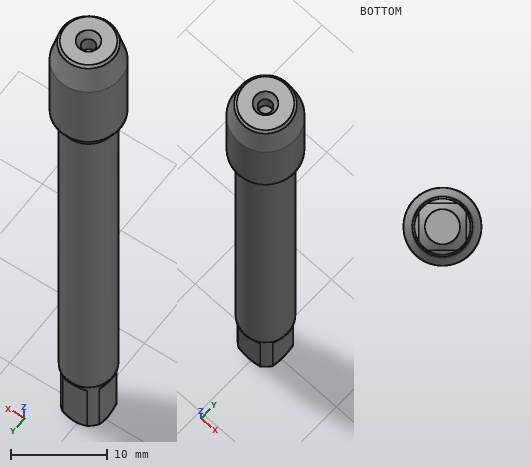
import cadquery as cq
import math

length = 70.0
head_diameter = 8.1
shaft_diameter = 6.2

top_face_diameter = 5.95
rim_chamfer = 0.3
nose_base_z = 66.5
neck_top_z = 57.05
neck_bottom_z = 55.5
collar_diameter = 6.5
collar_height = 0.35

drive_diameter = 5.8
across_flats = 4.9
flat_height = 7.9
shaft_start_z = 8.9
drive_step_height = 0.3
tip_diameter = 3.65
tip_chamfer_height = 1.25

countersink_diameter = 2.65
countersink_angle = 60.0
hole_diameter = 1.6
hole_depth = 2.8
drill_point_angle = 118.0

head_radius = head_diameter / 2
shaft_radius = shaft_diameter / 2
collar_radius = collar_diameter / 2
drive_radius = drive_diameter / 2
top_face_radius = top_face_diameter / 2
half_flats = across_flats / 2
hole_radius = hole_diameter / 2
drill_point_depth = hole_radius / math.tan(math.radians(drill_point_angle / 2))
countersink_radius = countersink_diameter / 2
countersink_slope = math.tan(math.radians(countersink_angle / 2))
countersink_depth = (countersink_radius - hole_radius) / countersink_slope


def revolve_profile(points):
    """Revolve a closed outline of (radius, height) points about Z."""
    return cq.Workplane("XZ").polyline(points).close().revolve(360, (0, 0), (0, 1))


def make_body():
    """Turned body from the drive tip to the head."""
    return revolve_profile([
        (0, 0),
        (tip_diameter / 2, 0),
        (drive_radius, tip_chamfer_height),
        (drive_radius, shaft_start_z - drive_step_height),
        (shaft_radius, shaft_start_z),
        (shaft_radius, neck_bottom_z - collar_height),
        (collar_radius, neck_bottom_z),
        (head_radius, neck_top_z),
        (head_radius, nose_base_z),
        (top_face_radius + rim_chamfer, length - rim_chamfer),
        (top_face_radius, length),
        (0, length),
    ])


def make_flat_cutter():
    """Material beyond one flat, with a 45 degree run-out at its upper end."""
    outside = head_radius
    runout = outside - half_flats
    return (
        cq.Workplane("XZ")
        .polyline([
            (half_flats, 0),
            (outside, 0),
            (outside, flat_height + runout),
            (half_flats, flat_height),
        ])
        .close()
        .extrude(head_radius, both=True)
    )


def make_centre_hole():
    """Countersunk blind hole with a 60 degree countersink and a conical bottom."""
    return revolve_profile([
        (0, length),
        (countersink_radius, length),
        (hole_radius, length - countersink_depth),
        (hole_radius, length - hole_depth),
        (0, length - hole_depth - drill_point_depth),
    ])


result = make_body().cut(make_centre_hole())
flat_cutter = make_flat_cutter()
for angle in (0, 90, 180, 270):
    result = result.cut(flat_cutter.rotate((0, 0, 0), (0, 0, 1), angle))